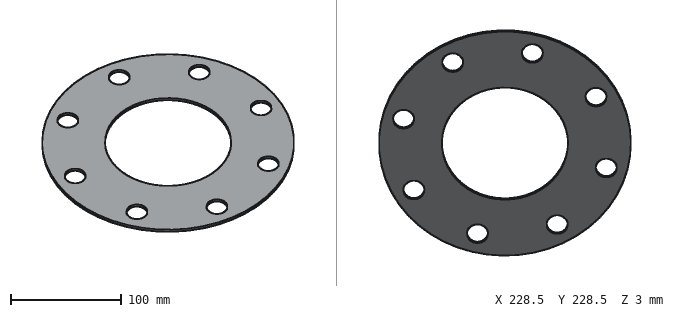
import cadquery as cq

outer_diameter = 228.5
bore_diameter = outer_diameter / 2
thickness = 3.0

bolt_hole_count = 8
bolt_hole_diameter = 19.0
bolt_circle_diameter = 190.5

ring = (
    cq.Workplane("XY")
    .circle(outer_diameter / 2)
    .circle(bore_diameter / 2)
    .extrude(thickness)
)

bolt_holes = (
    cq.Workplane("XY")
    .polarArray(bolt_circle_diameter / 2, 0, 360, bolt_hole_count)
    .circle(bolt_hole_diameter / 2)
    .extrude(thickness)
)

result = ring.cut(bolt_holes)